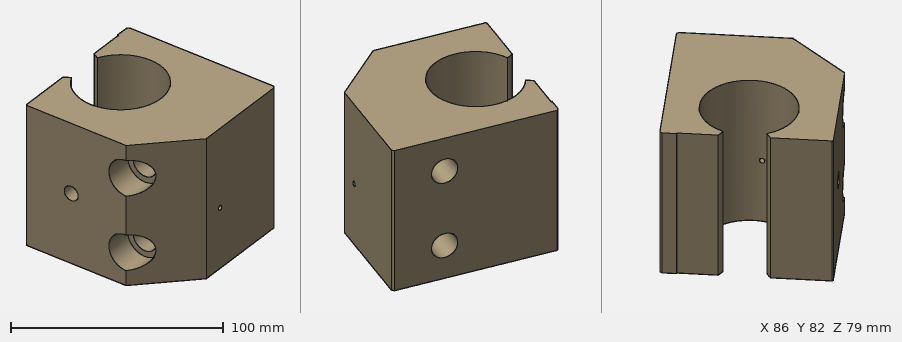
import cadquery as cq
import math

length = 86.0
width = 82.0
height = 79.0

corner_cut = 27.0
back_corner_chamfer = 1.0
front_corner_chamfer = 0.5
mouth_relief = 0.5
pad_width = 8.1

bore_diameter = 47.0
bore_x = 25.0
bore_y = 42.0
mouth_throat = 20.6
mouth_flare_angle = 31.0

bolt_x = length - corner_cut
bolt_spacing = 42.0
bolt_diameter = 13.5
bolt_head_diameter = 20.0
bolt_head_depth = 15.0

screw_x = 27.0
screw_diameter = 4.2
screw_lead_in = 0.4
screw_counterbore_diameter = 8.0
screw_counterbore_depth = 10.0

cross_hole_diameter = 2.5
cross_hole_y = 38.0
cross_hole_z = 34.1


def make_block():
    """Extrude the outer profile, with the mouth face set back from the locating pad."""
    pad_edge = width - pad_width
    profile = [
        (mouth_relief + front_corner_chamfer, 0),
        (length - corner_cut, 0),
        (length, corner_cut),
        (length, width - back_corner_chamfer),
        (length - back_corner_chamfer, width),
        (back_corner_chamfer, width),
        (0, width - back_corner_chamfer),
        (0, pad_edge),
        (mouth_relief, pad_edge),
        (mouth_relief, front_corner_chamfer),
    ]
    return cq.Workplane("XY").polyline(profile).close().extrude(height)


def make_bore_and_mouth():
    """Bore cylinder joined to the mouth that flares out to the -X face."""
    half_throat = mouth_throat / 2
    throat_x = bore_x - math.sqrt((bore_diameter / 2) ** 2 - half_throat ** 2)
    half_opening = half_throat + throat_x * math.tan(math.radians(mouth_flare_angle))
    mouth = (
        cq.Workplane("XY")
        .polyline([
            (0, bore_y - half_opening),
            (throat_x, bore_y - half_throat),
            (bore_x, bore_y),
            (throat_x, bore_y + half_throat),
            (0, bore_y + half_opening),
        ])
        .close()
        .extrude(height)
    )
    bore = cq.Workplane("XY").center(bore_x, bore_y).circle(bore_diameter / 2).extrude(height)
    return bore.union(mouth)


def cylinder_along_y(x, z, diameter, depth):
    """Cylinder that starts on the -Y face and runs towards +Y."""
    return cq.Workplane(cq.Solid.makeCylinder(
        diameter / 2, depth, cq.Vector(x, 0, z), cq.Vector(0, 1, 0)))


def make_bolt_hole(z):
    """Through hole with a flat-bottomed recess for the bolt head."""
    shank = cylinder_along_y(bolt_x, z, bolt_diameter, width)
    head = cylinder_along_y(bolt_x, z, bolt_head_diameter, bolt_head_depth)
    return shank.union(head)


def make_screw_hole(z):
    """Counterbore, conical lead-in and narrow hole that ends inside the bore."""
    screw_radius = screw_diameter / 2
    recess = cylinder_along_y(screw_x, z, screw_counterbore_diameter, screw_counterbore_depth)
    lead_in = cq.Workplane(cq.Solid.makeCone(
        screw_radius + screw_lead_in, screw_radius, screw_lead_in,
        cq.Vector(screw_x, screw_counterbore_depth, z), cq.Vector(0, 1, 0)))
    return cylinder_along_y(screw_x, z, screw_diameter, bore_y).union(recess).union(lead_in)


def make_cross_hole():
    """Straight hole from the middle of the bore out through the +X face."""
    return cq.Workplane(cq.Solid.makeCylinder(
        cross_hole_diameter / 2, length - bore_x,
        cq.Vector(bore_x, cross_hole_y, cross_hole_z), cq.Vector(1, 0, 0)))


mid_height = height / 2
result = make_block().cut(make_bore_and_mouth())
for side in (-1, 1):
    result = result.cut(make_bolt_hole(mid_height + side * bolt_spacing / 2))
result = result.cut(make_screw_hole(mid_height)).cut(make_cross_hole())